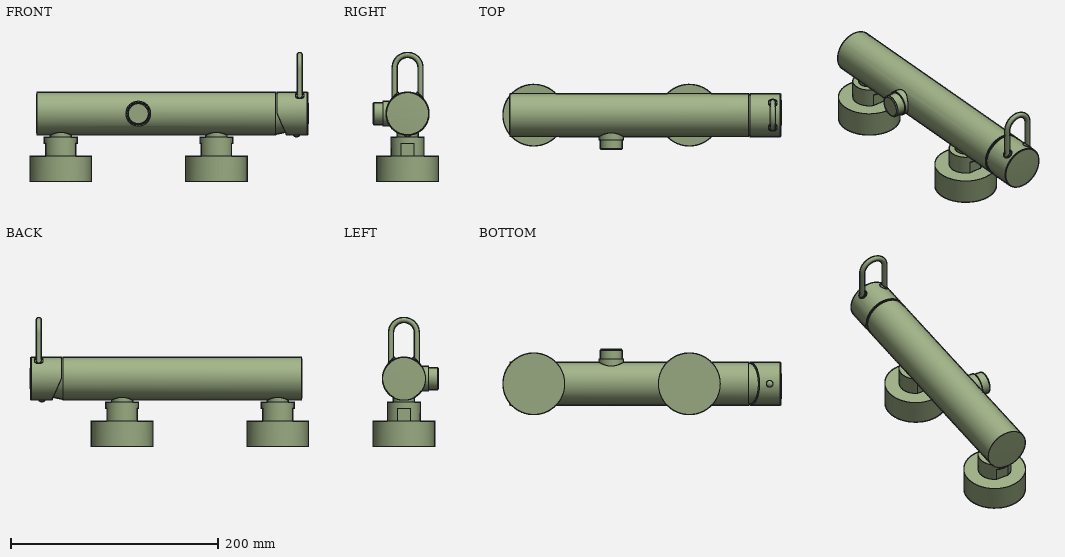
import cadquery as cq
import math


flange_radius = 59.7 / 2
flange_height = 24.7
union_spacing = 150.0
neck_radius = 32.0 / 2
neck_top = 43.0
flat_distance = 29.3 / 2
flat_height = 12.0
stub_radius = 20.7 / 2

bar_radius = 41.7 / 2
bar_axis_height = 65.6
bar_start = -23.5
bar_end = 207.1
bar_dome = 0.3

nose_start_radius = 20.2
nose_end_radius = 17.2
nose_length = 13.5

outlet_x = 74.8
outlet_collar_radius = 24.0 / 2
outlet_collar_reach = 24.0
outlet_radius = 21.5 / 2
outlet_reach = 33.4
outlet_chamfer = 1.0

cap_gap = 1.5
cap_start = bar_end + cap_gap
cap_end = 239.1
cap_dome = 0.8
cap_rim_chamfer = 0.5
relief_run = 9.1

wire_radius = 5.0 / 2
leg_offset = 25.0 / 2
loop_x = 230.5
loop_top = 124.8
leg_depth = 8.0
boss_radius = 8.5 / 2
boss_angle = 45.0
boss_face_y = 12.5
boss_face_z = 17.8
boss_length = 8.0

button_x = 227.5
button_radius = 6.5 / 2
button_drop = 1.5
button_root = 2.7


def cylinder(radius, length, start, direction):
    return cq.Workplane(cq.Solid.makeCylinder(radius, length, cq.Vector(*start), cq.Vector(*direction)))


def domed_bar(radius, flat_end, tip, other_end):
    """Cylinder along the bar axis with a shallow dome between flat_end and tip."""
    dome_depth = tip - flat_end
    sphere_radius = (radius**2 + dome_depth**2) / (2 * abs(dome_depth))
    half_angle = math.asin(radius / sphere_radius) / 2
    mid_x = tip - math.copysign(sphere_radius * (1 - math.cos(half_angle)), dome_depth)
    mid_r = sphere_radius * math.sin(half_angle)
    return (
        cq.Workplane("XY")
        .moveTo(other_end, 0)
        .lineTo(other_end, radius)
        .lineTo(flat_end, radius)
        .threePointArc((mid_x, mid_r), (tip, 0))
        .close()
        .revolve(360, (0, 0, 0), (1, 0, 0))
        .translate((0, 0, bar_axis_height))
    )


def make_nose():
    return cq.Workplane(
        cq.Solid.makeCone(
            nose_start_radius,
            nose_end_radius,
            nose_length,
            cq.Vector(bar_end, 0, bar_axis_height),
            cq.Vector(1, 0, 0),
        )
    )


def make_union(x):
    """Wall flange, neck with two wrench flats, and the stub that enters the bar."""
    up = (0, 0, 1)
    flange = cylinder(flange_radius, flange_height, (x, 0, 0), up)
    neck = cylinder(neck_radius, neck_top - flange_height, (x, 0, flange_height), up)
    for side in (-1, 1):
        flat_cut = (
            cq.Workplane("XY", origin=(x + side * (flat_distance + neck_radius / 2), 0, flange_height))
            .rect(neck_radius, 2 * neck_radius)
            .extrude(flat_height)
        )
        neck = neck.cut(flat_cut)
    stub = cylinder(stub_radius, bar_axis_height - neck_top, (x, 0, neck_top), up)
    return flange.union(neck).union(stub)


def make_outlet():
    start = (outlet_x, 0, bar_axis_height)
    outward = (0, -1, 0)
    collar = cylinder(outlet_collar_radius, outlet_collar_reach, start, outward)
    spout = cylinder(outlet_radius, outlet_reach, start, outward).faces("<Y").chamfer(outlet_chamfer)
    return collar.union(spout)


def make_housing():
    housing = domed_bar(bar_radius, bar_start + bar_dome, bar_start, bar_end).union(make_nose())
    for x in (0, union_spacing):
        housing = housing.union(make_union(x))
    return housing.union(make_outlet()).solids()


def make_relief():
    """Wedge that slants the lower half of the cap's inner end, leaving room to tilt the lever."""
    return (
        cq.Workplane("XZ", origin=(0, 0, bar_axis_height))
        .moveTo(cap_start, 0)
        .lineTo(cap_start, -bar_radius)
        .lineTo(cap_start + relief_run, -bar_radius)
        .close()
        .extrude(bar_radius, both=True)
    )


def make_wire_loop():
    leg_bottom = bar_axis_height + leg_depth
    bend_start = loop_top - wire_radius - leg_offset
    path = (
        cq.Workplane("YZ", origin=(loop_x, 0, 0))
        .moveTo(-leg_offset, leg_bottom)
        .lineTo(-leg_offset, bend_start)
        .threePointArc((0, bend_start + leg_offset), (leg_offset, bend_start))
        .lineTo(leg_offset, leg_bottom)
    )
    return (
        cq.Workplane("XY", origin=(loop_x, -leg_offset, leg_bottom))
        .circle(wire_radius)
        .sweep(path)
    )


def make_boss(side):
    """Slanted round boss where a wire leg enters the cap."""
    slope = math.radians(boss_angle)
    face_center = (loop_x, side * boss_face_y, bar_axis_height + boss_face_z)
    inward = (0, -side * math.sin(slope), -math.cos(slope))
    return cylinder(boss_radius, boss_length, face_center, inward)


def make_button():
    """Shallow domed button on the underside of the cap."""
    sphere_radius = (button_radius**2 + button_drop**2) / (2 * button_drop)
    underside = bar_axis_height - bar_radius
    ball = cq.Workplane("XY").sphere(sphere_radius).translate(
        (button_x, 0, underside - button_drop + sphere_radius)
    )
    stem = cylinder(button_radius, button_root + button_drop, (button_x, 0, underside - button_drop), (0, 0, 1))
    return stem.intersect(ball)


def make_lever():
    lever = domed_bar(bar_radius, cap_end - cap_dome, cap_end, cap_start)
    lever = lever.faces("%CYLINDER").edges(">X").chamfer(cap_rim_chamfer)
    lever = lever.cut(make_relief()).cut(make_nose())
    lever = lever.union(make_wire_loop())
    for side in (-1, 1):
        lever = lever.union(make_boss(side))
    return lever.union(make_button()).solids()


housing = make_housing()
lever = make_lever()

result = cq.Compound.makeCompound([housing.val(), lever.val()])